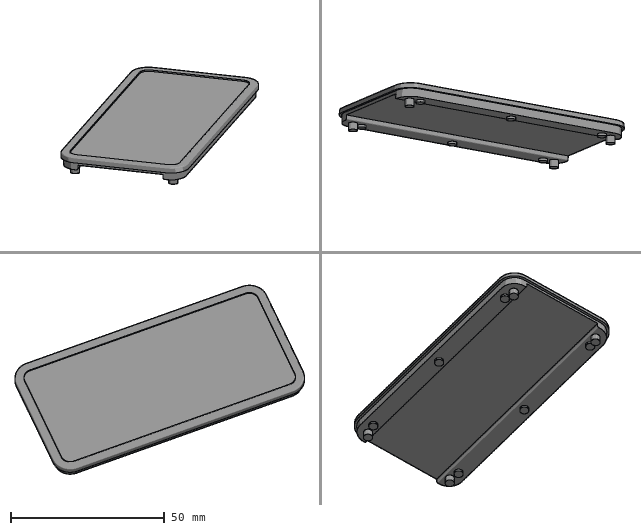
import cadquery as cq

width = 43.4
length = 88.4
height = 6.9

lip_thickness = 1.8
corner_radius = 6.1
draft_angle = 2
top_edge_round = 0.4

recess_inset = 3.0
recess_depth = 0.49

body_inset = 0.8
channel_width = 29.0
channel_depth = 1.7
channel_edge_round = 0.66

foot_diameter = 3.0
pin_length = 2.4
pin_edge_distance = 4.95
pad_length = 0.8
pad_side_distance = 4.2
pad_end_distance = 8.75

body_bottom = pin_length
lip_bottom = height - lip_thickness
body_height = lip_bottom - body_bottom


def rounded_plate(inset, base_level, thickness, taper=0):
    """Plate following the outer outline, moved inwards by the inset; a negative thickness goes down."""
    return (
        cq.Workplane("XY", origin=(0, 0, base_level))
        .sketch()
        .rect(width - 2 * inset, length - 2 * inset)
        .vertices()
        .fillet(corner_radius - inset)
        .finalize()
        .extrude(thickness, taper=taper)
    )


def make_lip():
    """Top plate with a rounded upper rim and a shallow recess."""
    plate = rounded_plate(0, lip_bottom, lip_thickness, draft_angle)
    plate = plate.faces(">Z").edges().fillet(top_edge_round)
    recess = rounded_plate(recess_inset, height, -recess_depth)
    return plate.cut(recess)


def make_body():
    """Lower plate with an open channel whose bottom edges are rounded."""
    plate = rounded_plate(body_inset, lip_bottom, -body_height, draft_angle)
    channel = (
        cq.Workplane("XY", origin=(0, 0, body_bottom))
        .rect(channel_width, length)
        .extrude(channel_depth)
    )
    plate = plate.cut(channel)
    for side in (-1, 1):
        mouth_edge = cq.selectors.NearestToPointSelector((side * channel_width / 2, 0, body_bottom))
        plate = plate.edges(mouth_edge).fillet(channel_edge_round)
    return plate


def make_feet(points, foot_length):
    """Cylinders hanging from the underside of the body."""
    return (
        cq.Workplane("XY", origin=(0, 0, body_bottom))
        .pushPoints(points)
        .circle(foot_diameter / 2)
        .extrude(-foot_length)
    )


pin_x = width / 2 - pin_edge_distance
pin_y = length / 2 - pin_edge_distance
pins = make_feet([(x, y) for x in (-pin_x, pin_x) for y in (-pin_y, pin_y)], pin_length)

pad_x = width / 2 - pad_side_distance
pad_y = length / 2 - pad_end_distance
pads = make_feet([(x, y) for x in (-pad_x, pad_x) for y in (-pad_y, 0, pad_y)], pad_length)

result = make_lip().union(make_body()).union(pins).union(pads)